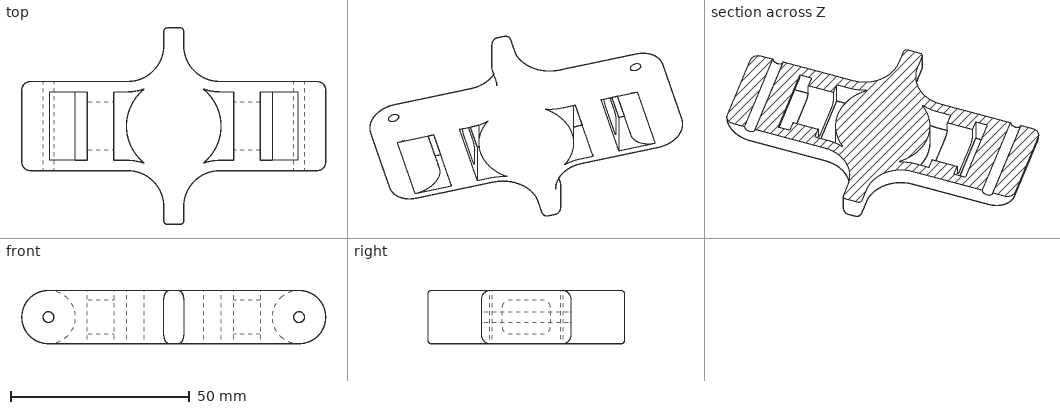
import cadquery as cq
import math

length = 85.0
span = 55.0
height = 15.0
frame_width = 25.0
wall = 3.0
edge_radius = 2.5

fin_width = 5.6
fin_flat = 2.3
fin_end_radius = 1.0
flare_radius = 10.0

disk_diameter = 26.5
pin_hole_diameter = 3.0

bar_width = 7.5
bar_offset = 20.5
slot_width = 13.4
slot_height = 9.5
slot_corner_radius = 2.0

half_length = length / 2
half_frame = frame_width / 2
half_fin = fin_width / 2
end_radius = height / 2
pin_x = half_length - end_radius
flare_x = half_fin + flare_radius
flare_y = half_frame + flare_radius
inner_half = half_frame - wall
window_end = pin_x - 0.25
window_start = 7.65


def prism(sketch):
    """Extrude an XY outline symmetrically over the full height."""
    return sketch.extrude(height / 2, both=True)


def flared_outline():
    """Frame outline with four concave flares meeting the two fin roots."""
    mid = flare_radius * math.sqrt(0.5)
    near, far = flare_x - mid, flare_y - mid
    return (
        cq.Workplane("XY")
        .moveTo(-half_length, -half_frame)
        .lineTo(-flare_x, -half_frame)
        .threePointArc((-near, -far), (-half_fin, -flare_y))
        .lineTo(half_fin, -flare_y)
        .threePointArc((near, -far), (flare_x, -half_frame))
        .lineTo(half_length, -half_frame)
        .lineTo(half_length, half_frame)
        .lineTo(flare_x, half_frame)
        .threePointArc((near, far), (half_fin, flare_y))
        .lineTo(-half_fin, flare_y)
        .threePointArc((-near, far), (-flare_x, half_frame))
        .lineTo(-half_length, half_frame)
        .close()
    )


def rounded_body():
    """Flared body with round ends and its outer side edges rounded."""
    side_profile = cq.Workplane("XZ").slot2D(length, height).extrude(flare_y, both=True)
    body = prism(flared_outline()).intersect(side_profile)
    slack = 0.1
    for y in (-half_frame, half_frame):
        low = (-half_length, y - slack, -height)
        high = (half_length, y + slack, height)
        body = body.edges(cq.selectors.BoxSelector(low, high)).edges("|X").fillet(edge_radius)
    return body


def fins():
    """Bar along Y with elliptical crest corners and rounded tips."""
    side = height / 2 - edge_radius
    crest = fin_flat / 2
    corner_x = half_fin - crest
    core = (
        cq.Workplane("XZ")
        .moveTo(half_fin, -side)
        .lineTo(half_fin, side)
        .ellipseArc(corner_x, edge_radius, 0, 90, startAtCurrent=True)
        .lineTo(-crest, height / 2)
        .ellipseArc(corner_x, edge_radius, 90, 180, startAtCurrent=True)
        .lineTo(-half_fin, -side)
        .ellipseArc(corner_x, edge_radius, 180, 270, startAtCurrent=True)
        .lineTo(crest, -height / 2)
        .ellipseArc(corner_x, edge_radius, 270, 360, startAtCurrent=True)
        .close()
        .extrude(span / 2, both=True)
    )
    return core.faces("<Y or >Y").edges().fillet(fin_end_radius)


def window(direction):
    """Opening between disk and end roll, on the side given by direction (+1 or -1)."""
    arc_radius = flare_radius + wall
    arc_end_y = flare_y - math.sqrt(arc_radius**2 - (flare_x - window_start) ** 2)
    mid_x = (window_start + flare_x) / 2
    mid_y = flare_y - math.sqrt(arc_radius**2 - (flare_x - mid_x) ** 2)
    plan = (
        cq.Workplane("XY")
        .moveTo(direction * window_end, -inner_half)
        .lineTo(direction * flare_x, -inner_half)
        .threePointArc((direction * mid_x, -mid_y), (direction * window_start, -arc_end_y))
        .lineTo(direction * window_start, arc_end_y)
        .threePointArc((direction * mid_x, mid_y), (direction * flare_x, inner_half))
        .lineTo(direction * window_end, inner_half)
        .close()
    )
    roll_side = (
        cq.Workplane("XZ")
        .lineTo(0, end_radius)
        .lineTo(direction * pin_x, end_radius)
        .threePointArc((direction * (pin_x - end_radius), 0), (direction * pin_x, -end_radius))
        .lineTo(0, -end_radius)
        .close()
        .extrude(half_frame, both=True)
    )
    disk = prism(cq.Workplane("XY").circle(disk_diameter / 2))
    return prism(plan).cut(disk).intersect(roll_side)


def cross_bars():
    """Two bars joining the walls, each with a rounded slot along X."""
    bars = prism(
        cq.Workplane("XY")
        .pushPoints([(-bar_offset, 0), (bar_offset, 0)])
        .rect(bar_width, 2 * inner_half)
    )
    for x in (-bar_offset, bar_offset):
        slot = (
            cq.Workplane("XY")
            .box(bar_width, slot_width, slot_height)
            .edges("|X")
            .fillet(slot_corner_radius)
            .translate((x, 0, 0))
        )
        bars = bars.cut(slot)
    return bars


def pin_holes():
    """Holes along Y through both end rolls and the walls."""
    return (
        cq.Workplane("XZ")
        .pushPoints([(-pin_x, 0), (pin_x, 0)])
        .circle(pin_hole_diameter / 2)
        .extrude(half_frame, both=True)
    )


result = rounded_body().union(fins())
for direction in (-1, 1):
    result = result.cut(window(direction))
result = result.union(cross_bars()).cut(pin_holes())